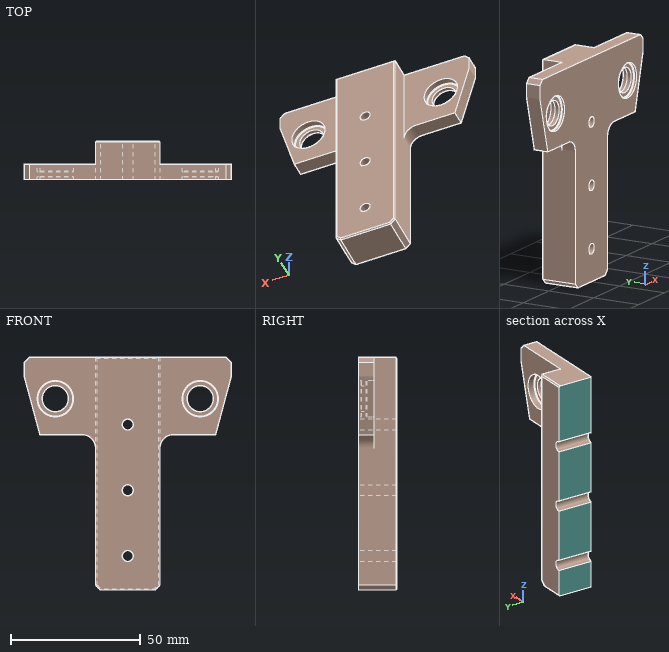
import cadquery as cq

total_height = 90.0
total_depth = 15.0
head_width = 80.0
head_height = 30.0
head_thickness = 6.0
stem_width = 25.0

corner_chamfer = 2.0
inner_fillet = 5.0
taper_start_drop = 7.6
taper_inset = 6.0
back_chamfer = 0.5

large_hole_spacing = 56.0
large_hole_drop = 16.0
large_bore_diameter = 10.0
counterbore_diameter = 14.0
front_counterbore_depth = 1.3
back_counterbore_depth = 3.0
floor_chamfer = 0.3

small_hole_diameter = 4.1
small_hole_count = 3
small_hole_top_drop = 26.0
small_hole_pitch = 25.4


def make_head():
    """Flat crosspiece with chamfered top corners and tapered ends."""
    half_width = head_width / 2
    bottom = total_height - head_height
    taper_start = total_height - taper_start_drop
    outline = [
        (-half_width + taper_inset, bottom),
        (half_width - taper_inset, bottom),
        (half_width, taper_start),
        (half_width, total_height - corner_chamfer),
        (half_width - corner_chamfer, total_height),
        (-half_width + corner_chamfer, total_height),
        (-half_width, total_height - corner_chamfer),
        (-half_width, taper_start),
    ]
    return cq.Workplane("XZ").polyline(outline).close().extrude(-head_thickness)


def make_stem():
    """Full-height bar with chamfered foot corners and a chamfered back face."""
    stem = cq.Workplane("XY").box(stem_width, total_depth, total_height, centered=(True, False, False))
    stem = stem.edges("|Y and <Z").chamfer(corner_chamfer)
    return stem.faces(">Y").edges().chamfer(back_chamfer)


def make_inner_fillet(side):
    """Concave web between the underside of the head and one side of the stem."""
    side_x = side * stem_width / 2
    underside = total_height - head_height
    web = (
        cq.Workplane("XZ")
        .moveTo(side_x, underside)
        .lineTo(side_x + side * inner_fillet, underside)
        .radiusArc((side_x, underside - inner_fillet), -side * inner_fillet)
        .close()
    )
    return web.extrude(-head_thickness)


def make_large_hole(side):
    """Cutter for a through bore, counterbored from both faces with chamfered floor corners."""
    radius = counterbore_diameter / 2
    floor_radius = radius - floor_chamfer
    bore_radius = large_bore_diameter / 2
    front_floor = front_counterbore_depth
    back_floor = head_thickness - back_counterbore_depth
    profile = [
        (0, 0),
        (radius, 0),
        (radius, front_floor - floor_chamfer),
        (floor_radius, front_floor),
        (bore_radius, front_floor),
        (bore_radius, back_floor),
        (floor_radius, back_floor),
        (radius, back_floor + floor_chamfer),
        (radius, head_thickness),
        (0, head_thickness),
    ]
    cutter = cq.Workplane("XY").polyline(profile).close().revolve(360, (0, 0, 0), (0, 1, 0))
    return cutter.translate((side * large_hole_spacing / 2, 0, total_height - large_hole_drop))


def make_small_hole(index):
    """Cutter for one plain hole through the full depth of the stem."""
    height = total_height - small_hole_top_drop - index * small_hole_pitch
    return cq.Workplane("XZ").center(0, height).circle(small_hole_diameter / 2).extrude(-total_depth)


result = make_head().union(make_stem())
for side in (-1, 1):
    result = result.union(make_inner_fillet(side))
    result = result.cut(make_large_hole(side))
for index in range(small_hole_count):
    result = result.cut(make_small_hole(index))